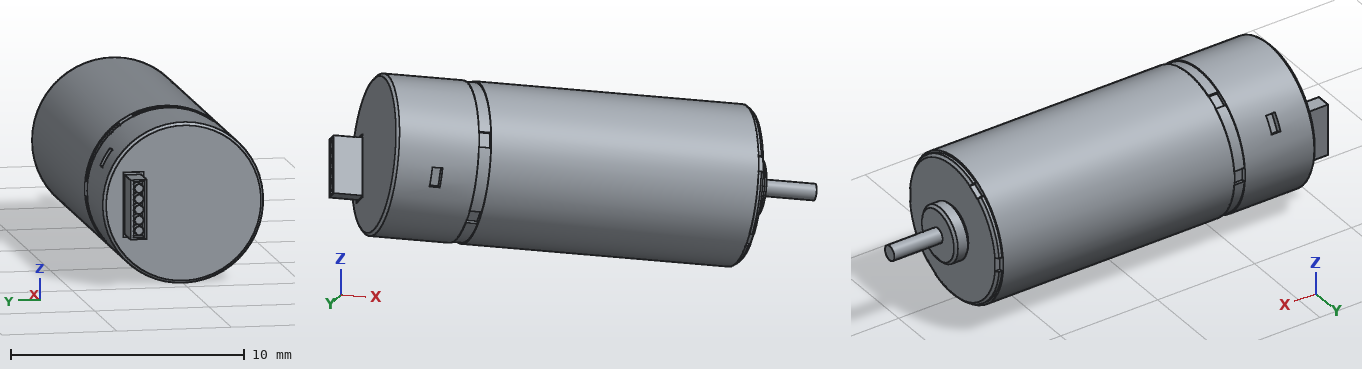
import cadquery as cq

TOTAL_LENGTH = 20.9
CAP_START = 1.23
CAP_END = 4.9
SLEEVE_START = 5.45
SLEEVE_END = 17.38
FLANGE_END = 17.65
BOSS_END = 18.4

BODY_RADIUS = 3.5
CORE_RADIUS = 3.45
FLANGE_RADIUS = 3.4
BOSS_RADIUS = 1.35
SHAFT_RADIUS = 0.365
CAP_CHAMFER = 0.13
FLANGE_CHAMFER = 0.13
BOSS_CHAMFER = 0.13

NOTCH_ANGLES = (0, 60, 180, 240)
NOTCH_WIDTH = 0.69
NOTCH_DEPTH = 0.17

LATCH_ANGLES = (30, 210)
LATCH_CENTER_X = 3.13
LATCH_LENGTH = 0.45
LATCH_WIDTH = 0.85
LATCH_DEPTH = 0.31

PLUG_CENTER_Y = 2.2
CONTACT_CENTER_Y = 2.17
PLUG_THICKNESS = 0.7
PLUG_HEIGHT = 2.6
WINDOW_THICKNESS = 0.9
WINDOW_HEIGHT = 2.82
WINDOW_DEPTH = 0.06
SOCKET_THICKNESS = 0.48
SOCKET_HEIGHT = 2.45
SOCKET_DEPTH = 0.5

PIN_COUNT = 5
PIN_PITCH = 0.45
PIN_RADIUS = 0.19

CUT_CLEARANCE = 0.2


def cylinder(start, end, radius):
    """Round section of the motor between two X positions."""
    return cq.Workplane("YZ").workplane(offset=start).circle(radius).extrude(end - start)


def box(start, end, center_y, size_y, size_z):
    """Box between two X positions, centred on Z = 0."""
    return (
        cq.Workplane("YZ")
        .workplane(offset=start)
        .center(center_y, 0)
        .rect(size_y, size_z)
        .extrude(end - start)
    )


def side_cut(start, end, width, floor_radius, angle):
    """Flat-bottomed cutter reaching from floor_radius out through the side at the given angle."""
    size = BODY_RADIUS + CUT_CLEARANCE - floor_radius
    cutter = box(start, end, floor_radius + size / 2, size, width)
    return cutter.rotate((0, 0, 0), (1, 0, 0), angle)


def notched(ring, start, end, radius):
    """Ring with a flat-bottomed notch cut along its whole length at every notch angle."""
    for angle in NOTCH_ANGLES:
        ring = ring.cut(side_cut(start, end, NOTCH_WIDTH, radius - NOTCH_DEPTH, angle))
    return ring


def make_core():
    """Notched core that shows in the gap between cap and sleeve."""
    return notched(cylinder(CAP_END, SLEEVE_START, CORE_RADIUS), CAP_END, SLEEVE_START, CORE_RADIUS)


def make_flange():
    """Notched front flange with a chamfered rim."""
    flange = cylinder(SLEEVE_END, FLANGE_END, FLANGE_RADIUS).faces(">X").chamfer(FLANGE_CHAMFER)
    return notched(flange, SLEEVE_END, FLANGE_END, FLANGE_RADIUS)


def make_cap():
    """Rear cap with latch pockets and the connector window."""
    cap = cylinder(CAP_START, CAP_END, BODY_RADIUS).faces("<X").chamfer(CAP_CHAMFER)
    latch_start = LATCH_CENTER_X - LATCH_LENGTH / 2
    for angle in LATCH_ANGLES:
        cap = cap.cut(
            side_cut(latch_start, latch_start + LATCH_LENGTH, LATCH_WIDTH, BODY_RADIUS - LATCH_DEPTH, angle)
        )
    window = box(CAP_START, CAP_START + WINDOW_DEPTH, CONTACT_CENTER_Y, WINDOW_THICKNESS, WINDOW_HEIGHT)
    return cap.cut(window)


def make_plug():
    """Connector housing with an open socket and a row of pins."""
    root = CAP_START + WINDOW_DEPTH
    plug = box(0, root, PLUG_CENTER_Y, PLUG_THICKNESS, PLUG_HEIGHT)
    plug = plug.cut(box(0, SOCKET_DEPTH, CONTACT_CENTER_Y, SOCKET_THICKNESS, SOCKET_HEIGHT))
    pins = (
        cq.Workplane("YZ")
        .center(CONTACT_CENTER_Y, 0)
        .rarray(0.2, PIN_PITCH, 1, PIN_COUNT)
        .circle(PIN_RADIUS)
        .extrude(SOCKET_DEPTH)
    )
    return plug.union(pins)


def make_boss():
    """Front bearing boss, chamfered at both ends."""
    return cylinder(FLANGE_END, BOSS_END, BOSS_RADIUS).faces("<X or >X").chamfer(BOSS_CHAMFER)


sleeve = cylinder(SLEEVE_START, SLEEVE_END, BODY_RADIUS)
shaft = cylinder(BOSS_END, TOTAL_LENGTH, SHAFT_RADIUS)

result = (
    make_cap()
    .union(make_plug())
    .union(make_core())
    .union(sleeve)
    .union(make_flange())
    .union(make_boss())
    .union(shaft)
)